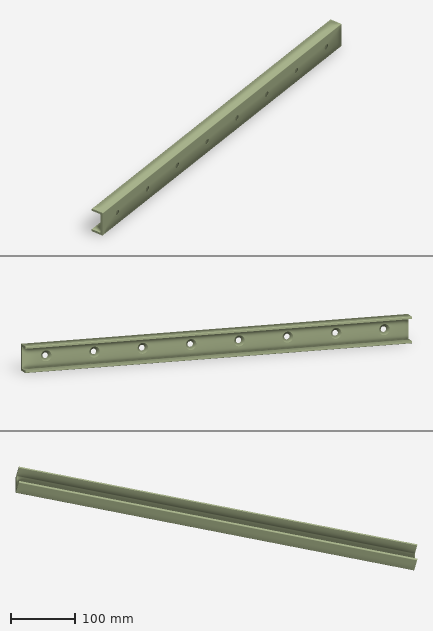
import cadquery as cq

width = 21.0
length = 640.0
height = 43.0

flange_thickness = 4.0
web_thickness = 4.5
corner_radius = 1.0

hole_count = 8
hole_pitch = length / hole_count
hole_diameter = 9.0
countersink_angle = 90
countersink_depth = 4.3
countersink_diameter = hole_diameter + 2 * countersink_depth

web_inner_x = width / 2 - web_thickness


def make_channel():
    """C-shaped rail along Y, open towards -X, with rounded outer and root edges."""
    body = cq.Workplane("XY").box(width, length, height)
    body = body.edges("|Y").fillet(corner_radius)
    cavity = (
        cq.Workplane("XY")
        .box(width - web_thickness, length, height - 2 * flange_thickness)
        .edges("|Y and >X")
        .fillet(corner_radius)
        .translate((-web_thickness / 2, 0, 0))
    )
    return body.cut(cavity)


def drill_web(channel):
    """Countersunk holes evenly spaced along the rail, opening to the inside."""
    return (
        channel.copyWorkplane(cq.Workplane("YZ", origin=(web_inner_x, 0, 0)))
        .transformed(rotate=(0, 180, 0))
        .rarray(hole_pitch, 6.5, hole_count, 1)
        .cskHole(hole_diameter, countersink_diameter, countersink_angle)
    )


result = drill_web(make_channel())